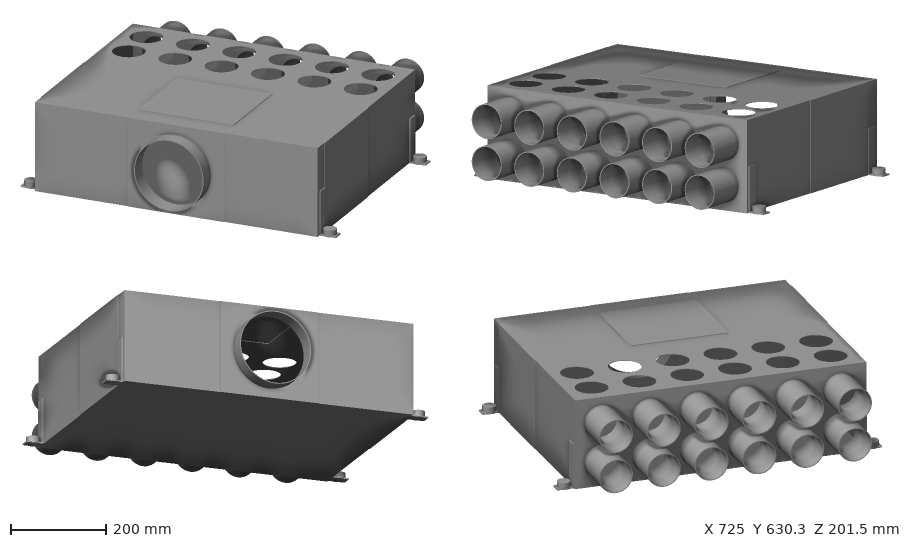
import cadquery as cq


box_width = 650.0
box_depth = 500.0
box_height = 200.0
wall = 1.5

cover_width = 220.0
cover_height = 200.0
cover_sheet = 1.5
opening_size = 180.0
top_cover_front = 47.0
side_cover_front = 35.0

inlet_outer_diameter = 160.0
inlet_wall = 2.0
inlet_length = 36.8
inlet_height = 100.0

port_columns = 6
port_rows = 2
port_pitch = 106.7
port_row_pitch = 90.0
tube_outer_diameter = 75.0
port_diameter = 71.0
tube_length = 92.0
tube_row_height = 55.0
top_hole_back_distance = 59.0

bracket_width = 25.0
bracket_reach = 37.5
bracket_height = 100.0
bracket_sheet = 3.0
damper_diameter = 29.0
damper_top = 15.0
damper_reach = 19.0
back_bracket_inset = 18.0
front_bracket_inset = 22.0

half_width = box_width / 2
half_cover = cover_width / 2
half_opening = opening_size / 2
middle_height = box_height / 2
cover_face = -cover_sheet
inlet_end = cover_face - inlet_length
tube_end = box_depth + tube_length
top_cover_middle = top_cover_front + cover_height / 2
side_cover_middle = side_cover_front + half_cover


def block(x_range, y_range, z_range):
    """Axis-aligned block given by its low and high limit along each axis."""
    (x0, x1), (y0, y1), (z0, z1) = x_range, y_range, z_range
    return cq.Workplane("XY").box(x1 - x0, y1 - y0, z1 - z0, centered=False).translate((x0, y0, z0))


def around(middle, half_size):
    """Low and high limit of a span centred on middle."""
    return (middle - half_size, middle + half_size)


def cylinder_along_y(diameter, x, z, y0, y1):
    """Round bar parallel to Y, from y0 to y1."""
    return cq.Workplane("XZ", origin=(x, y0, z)).circle(diameter / 2).extrude(y0 - y1)


def cylinder_along_z(diameter, x, y, z0, z1):
    """Round bar parallel to Z, from z0 to z1."""
    return cq.Workplane("XY", origin=(x, y, z0)).circle(diameter / 2).extrude(z1 - z0)


def port_places():
    """X position and row number of every outlet port."""
    first_x = -(port_columns - 1) / 2 * port_pitch
    return [(first_x + column * port_pitch, row) for column in range(port_columns) for row in range(port_rows)]


def shell():
    """Closed hollow box of thin sheet."""
    outside = block(around(0, half_width), (0, box_depth), (0, box_height))
    inside = block(around(0, half_width - wall), (wall, box_depth - wall), (wall, box_height - wall))
    return outside.cut(inside)


def add_covers(body):
    """Cut the square wall openings and close each with a cover on the outside."""
    full_height = (0, cover_height)
    opening_height = around(middle_height, half_opening)

    body = body.cut(block(around(0, half_opening), (0, wall), opening_height))
    body = body.union(block(around(0, half_cover), (cover_face, 0), full_height))

    top_opening_y = around(top_cover_middle, half_opening)
    top_cover_y = around(top_cover_middle, cover_height / 2)
    body = body.cut(block(around(0, half_opening), top_opening_y, (box_height - wall, box_height)))
    body = body.union(block(around(0, half_cover), top_cover_y, (box_height, box_height + cover_sheet)))

    side_opening_y = around(side_cover_middle, half_opening)
    side_cover_y = around(side_cover_middle, half_cover)
    for wall_x, cover_x in (
        ((half_width - wall, half_width), (half_width, half_width + cover_sheet)),
        ((-half_width, wall - half_width), (-half_width - cover_sheet, -half_width)),
    ):
        body = body.cut(block(wall_x, side_opening_y, opening_height))
        body = body.union(block(cover_x, side_cover_y, full_height))
    return body


def add_inlet(body):
    """Open spigot on the front cover."""
    bore = inlet_outer_diameter - 2 * inlet_wall
    body = body.union(cylinder_along_y(inlet_outer_diameter, 0, inlet_height, inlet_end, cover_face))
    return body.cut(cylinder_along_y(bore, 0, inlet_height, inlet_end, 0))


def add_ports(body):
    """Rows of tubes on the back and of holes in the top."""
    for x, row in port_places():
        z = tube_row_height + row * port_row_pitch
        body = body.union(cylinder_along_y(tube_outer_diameter, x, z, box_depth, tube_end))
        body = body.cut(cylinder_along_y(port_diameter, x, z, box_depth - wall, tube_end))
        y = box_depth - top_hole_back_distance - row * port_row_pitch
        body = body.cut(cylinder_along_z(port_diameter, x, y, box_height - wall, box_height))
    return body


def right_bracket(y):
    """Angle bracket on the +X wall with a damper standing on its foot."""
    bracket_y = around(y, bracket_width / 2)
    foot = block((half_width, half_width + bracket_reach), bracket_y, (0, bracket_sheet))
    upright = block((half_width, half_width + bracket_sheet), bracket_y, (0, bracket_height))
    damper = cylinder_along_z(damper_diameter, half_width + damper_reach, y, 0, damper_top)
    return foot.union(upright).union(damper)


def add_brackets(body):
    """Two brackets on each side wall."""
    for y in (front_bracket_inset, box_depth - back_bracket_inset):
        bracket = right_bracket(y)
        body = body.union(bracket).union(bracket.mirror("YZ"))
    return body


result = shell()
result = add_covers(result)
result = add_inlet(result)
result = add_ports(result)
result = add_brackets(result)